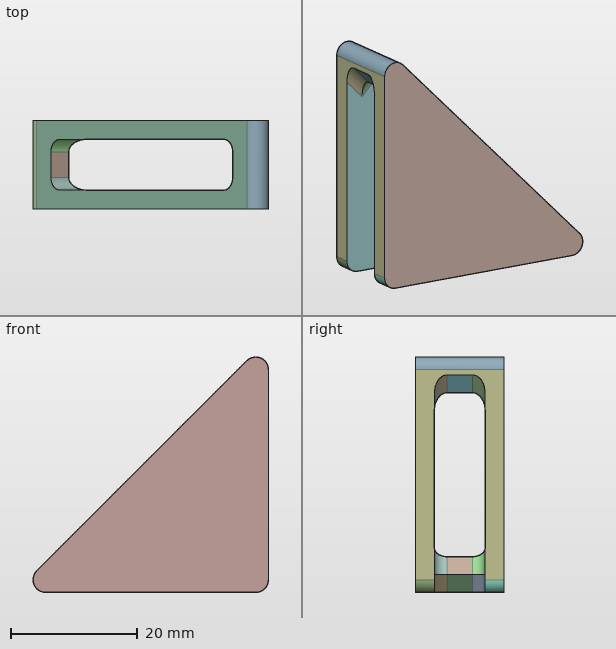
import cadquery as cq
import math

size = 37.17
thickness = 14.0
corner_radius = 2.0
side_wall = 3.0
end_margin = 2.82
web = 4.0
overrun = 3.7

slot_width = thickness - 2 * side_wall
far = size - corner_radius
slope_rise = corner_radius * math.sqrt(2)
slot_start = end_margin
slot_end = size - end_margin - slope_rise
slot_length = (slot_end - slot_start) * math.sqrt(2)


def triangle_body():
    """Right-angled wedge with three equally rounded edges, centred on Y = 0."""
    diagonal = corner_radius / math.sqrt(2)
    return (
        cq.Workplane("XZ")
        .moveTo(corner_radius, 0)
        .lineTo(far, 0)
        .radiusArc((size, corner_radius), -corner_radius)
        .lineTo(size, far)
        .radiusArc((far - diagonal, far + diagonal), -corner_radius)
        .lineTo(corner_radius - diagonal, corner_radius + diagonal)
        .radiusArc((corner_radius, 0), -corner_radius)
        .close()
        .extrude(thickness / 2, both=True)
    )


def sloping_slot():
    """Rounded slot cut square to the sloping face, through the web and on past the corner."""
    middle = (slot_start + slot_end) / 2
    face = cq.Plane(
        origin=(middle, 0, middle + slope_rise),
        xDir=(1, 0, 1),
        normal=(-1, 0, 1),
    )
    return (
        cq.Workplane(face)
        .rect(slot_length, slot_width)
        .extrude(-size)
        .edges(cq.selectors.ParallelDirSelector(cq.Vector(-1, 0, 1)))
        .fillet(corner_radius)
    )


def inner_cavity():
    """Triangular hollow open at the bottom and +X faces, rounded where its roof meets the walls."""
    roof_start = web * math.sqrt(2) - slope_rise
    outside = size + overrun
    return (
        cq.Workplane("XZ")
        .moveTo(roof_start - overrun, -overrun)
        .lineTo(outside, -overrun)
        .lineTo(outside, outside - roof_start)
        .close()
        .extrude(slot_width / 2, both=True)
        .edges(cq.selectors.ParallelDirSelector(cq.Vector(1, 0, 1)))
        .fillet(corner_radius)
    )


result = triangle_body().cut(sloping_slot()).cut(inner_cavity())